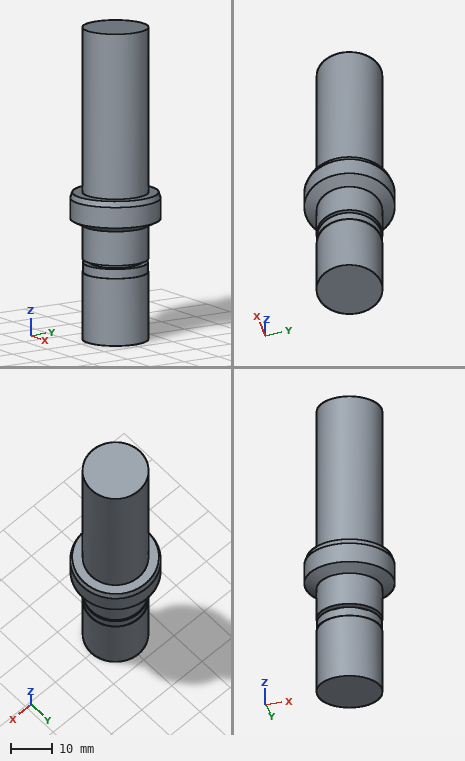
import cadquery as cq

total_length = 77.5
shaft_diameter = 16.05

collar_diameter = 22.0
collar_top_diameter = 21.0
collar_bottom = 28.45
collar_height = 8.05
top_bevel_height = 1.4
underside_cone_height = 1.55

groove_diameter = 12.55
groove_bottom = 19.1
groove_width = 0.9

band_diameter = 15.8
band_bottom = 16.75


def cylinder(diameter, bottom, height):
    return cq.Workplane("XY").workplane(offset=bottom).circle(diameter / 2).extrude(height)


def collar():
    collar_top = collar_bottom + collar_height
    outline = [
        (0, collar_bottom),
        (shaft_diameter / 2, collar_bottom),
        (collar_diameter / 2, collar_bottom + underside_cone_height),
        (collar_diameter / 2, collar_top - top_bevel_height),
        (collar_top_diameter / 2, collar_top),
        (0, collar_top),
    ]
    return cq.Workplane("XZ").polyline(outline).close().revolve(360, (0, 0), (0, 1))


def ring_cutter(floor_diameter, bottom, height):
    ring = cylinder(collar_diameter, bottom, height)
    return ring.cut(cylinder(floor_diameter, bottom, height))


shaft = cylinder(shaft_diameter, 0, total_length)
retaining_groove = ring_cutter(groove_diameter, groove_bottom, groove_width)
band_relief = ring_cutter(band_diameter, band_bottom, groove_bottom - band_bottom)
result = shaft.union(collar()).cut(retaining_groove).cut(band_relief)